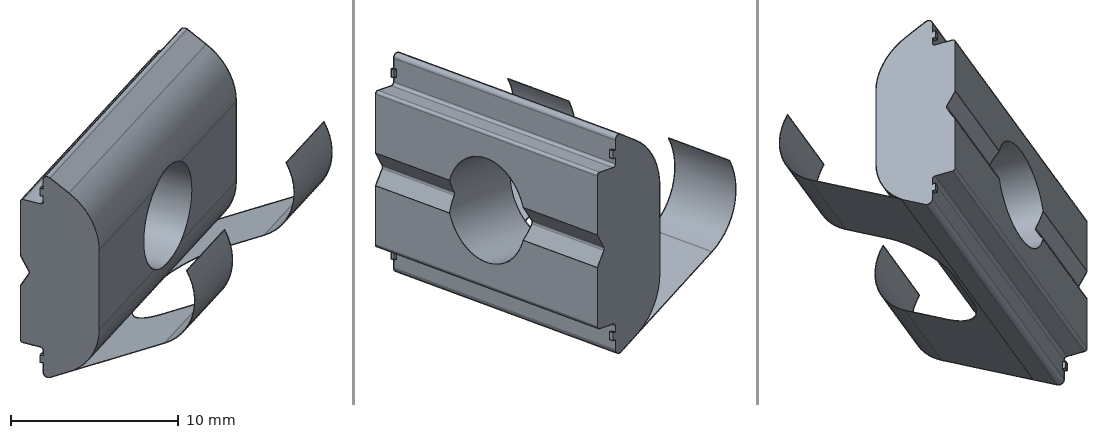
import cadquery as cq
import math

LENGTH = 19.0
HEIGHT = 14.0
BODY_DEPTH = 5.2
SHOULDER_X = 1.5
FRONT_HALF_HEIGHT = 5.0
STEP_FILLET = 0.19
TIP_RADIUS = 0.3
BACK_RADIUS = 3.99
SLOPE = math.radians(30)

GROOVE_HALF_HEIGHT = 1.05
GROOVE_ROOT_RADIUS = 0.19
HOLE_DIAMETER = 6.65

NUB_LENGTH = 0.27
NUB_HEIGHT = 0.51
NUB_PROJECTION = 0.2
NUB_Z = 5.81

TOTAL_DEPTH = 11.53
SPRING_THICKNESS = 0.02
SPRING_RADIUS = 3.99
SPRING_END_ANGLE = math.radians(30)
WINDOW_WIDTH = 8.53
WINDOW_START_X = 3.8
WINDOW_CORNER_RADIUS = 3.0


def polar(center, radius, angle):
    """Point at the given radius and angle from a center in the XZ plane."""
    return (center[0] + radius * math.cos(angle), center[1] + radius * math.sin(angle))


def extrude_along_y(outline):
    """Extrude a closed XZ outline over the full length, centered on Y = 0."""
    return outline.close().extrude(LENGTH / 2, both=True)


FLANK_NORMAL = math.pi / 2 - SLOPE
tip_center = (SHOULDER_X + TIP_RADIUS, HEIGHT / 2 - TIP_RADIUS)
flank_start = polar(tip_center, TIP_RADIUS, FLANK_NORMAL)


def flank_height(x):
    """Height of the upper flank line at x."""
    return flank_start[1] - (x - flank_start[0]) * math.tan(SLOPE)


def make_half_body():
    """Upper half of the body, with the step, tip and back rounding."""
    back_center_x = BODY_DEPTH - BACK_RADIUS
    flank_end_x = back_center_x + BACK_RADIUS * math.cos(FLANK_NORMAL)
    back_center_z = flank_height(flank_end_x) - BACK_RADIUS * math.sin(FLANK_NORMAL)
    back_center = (back_center_x, back_center_z)
    tip_middle_angle = (math.pi + FLANK_NORMAL) / 2

    outline = (
        cq.Workplane("XZ")
        .moveTo(0, 0)
        .lineTo(0, FRONT_HALF_HEIGHT - STEP_FILLET)
        .radiusArc((STEP_FILLET, FRONT_HALF_HEIGHT), STEP_FILLET)
        .lineTo(SHOULDER_X - STEP_FILLET, FRONT_HALF_HEIGHT)
        .radiusArc((SHOULDER_X, FRONT_HALF_HEIGHT + STEP_FILLET), -STEP_FILLET)
        .lineTo(SHOULDER_X, tip_center[1])
        .threePointArc(polar(tip_center, TIP_RADIUS, tip_middle_angle), flank_start)
        .lineTo(*polar(back_center, BACK_RADIUS, FLANK_NORMAL))
        .threePointArc(polar(back_center, BACK_RADIUS, FLANK_NORMAL / 2), (BODY_DEPTH, back_center_z))
        .lineTo(BODY_DEPTH, 0)
    )
    return extrude_along_y(outline)


def make_groove():
    """V-groove cutter with a rounded root; its walls lie at the flank slope angle from Z."""
    root_half_height = GROOVE_ROOT_RADIUS * math.sin(SLOPE)
    wall_end_x = (GROOVE_HALF_HEIGHT - root_half_height) * math.tan(SLOPE)
    root_x = wall_end_x + GROOVE_ROOT_RADIUS * (1 - math.cos(SLOPE))
    outline = (
        cq.Workplane("XZ")
        .moveTo(0, GROOVE_HALF_HEIGHT)
        .lineTo(wall_end_x, root_half_height)
        .threePointArc((root_x, 0), (wall_end_x, -root_half_height))
        .lineTo(0, -GROOVE_HALF_HEIGHT)
    )
    return extrude_along_y(outline)


def make_nub(y_side, z_side):
    """One small block on a shoulder, flush with an end face and rooted in the body."""
    return cq.Workplane("XY").box(2 * NUB_PROJECTION, NUB_LENGTH, NUB_HEIGHT).translate(
        (SHOULDER_X, y_side * (LENGTH - NUB_LENGTH) / 2, z_side * NUB_Z)
    )


def make_spring():
    """Sheet that continues the lower flank, curls up, and is split into two arms."""
    center_x = TOTAL_DEPTH - SPRING_RADIUS
    bend_start_x = center_x + SPRING_RADIUS * math.cos(FLANK_NORMAL)
    center_z = SPRING_RADIUS * math.sin(FLANK_NORMAL) - flank_height(bend_start_x)
    center = (center_x, center_z)
    inner_radius = SPRING_RADIUS - SPRING_THICKNESS
    middle_angle = (SPRING_END_ANGLE - FLANK_NORMAL) / 2
    outer_start = (flank_start[0], -flank_start[1])
    inner_start = polar(outer_start, SPRING_THICKNESS, math.pi - FLANK_NORMAL)

    outline = (
        cq.Workplane("XZ")
        .moveTo(*outer_start)
        .lineTo(*polar(center, SPRING_RADIUS, -FLANK_NORMAL))
        .threePointArc(
            polar(center, SPRING_RADIUS, middle_angle),
            polar(center, SPRING_RADIUS, SPRING_END_ANGLE),
        )
        .lineTo(*polar(center, inner_radius, SPRING_END_ANGLE))
        .threePointArc(
            polar(center, inner_radius, middle_angle),
            polar(center, inner_radius, -FLANK_NORMAL),
        )
        .lineTo(*inner_start)
    )
    window = (
        cq.Workplane("XY")
        .box(TOTAL_DEPTH, WINDOW_WIDTH, 2 * HEIGHT)
        .edges("|Z and <X")
        .fillet(WINDOW_CORNER_RADIUS)
        .translate((WINDOW_START_X + TOTAL_DEPTH / 2, 0, 0))
    )
    return extrude_along_y(outline).cut(window)


half_body = make_half_body()
body = half_body.union(half_body.mirror("XY")).clean()
hole = cq.Workplane("YZ").circle(HOLE_DIAMETER / 2).extrude(BODY_DEPTH)
result = body.cut(make_groove()).cut(hole)
for y_side in (-1, 1):
    for z_side in (-1, 1):
        result = result.union(make_nub(y_side, z_side))
result = result.union(make_spring())